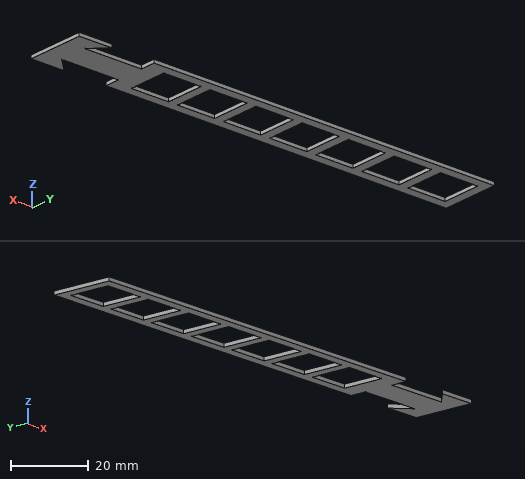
import cadquery as cq

length = 142.9
width = 19.0
thickness = 1.19

body_length = 117.2
window_count = 7
window_size = 12.7
window_pitch = 15.9
rail_width = (width - window_size) / 2

neck_width = 9.1
barb_tip_x = 131.5
barb_root_x = 136.6


def strap_blank():
    """Full strap, with its left end at X = 0 and centred on the X axis."""
    return cq.Workplane("XY").box(length, width, thickness, centered=(False, True, False))


def neck_notch(side):
    """Cutter beside the neck, undercutting the barb; side is +1 or -1 along Y."""
    outer_y = side * width / 2
    neck_y = side * neck_width / 2
    return (
        cq.Workplane("XY")
        .moveTo(body_length, outer_y)
        .lineTo(body_length, neck_y)
        .lineTo(barb_root_x, neck_y)
        .lineTo(barb_tip_x, outer_y)
        .close()
        .extrude(thickness)
    )


def windows():
    """Row of square through-cutters, starting one rail width from the left end."""
    first_center_x = rail_width + window_size / 2
    centers = [(first_center_x + i * window_pitch, 0) for i in range(window_count)]
    return (
        cq.Workplane("XY")
        .pushPoints(centers)
        .rect(window_size, window_size)
        .extrude(thickness)
    )


result = strap_blank().cut(windows())
for side in (1, -1):
    result = result.cut(neck_notch(side))